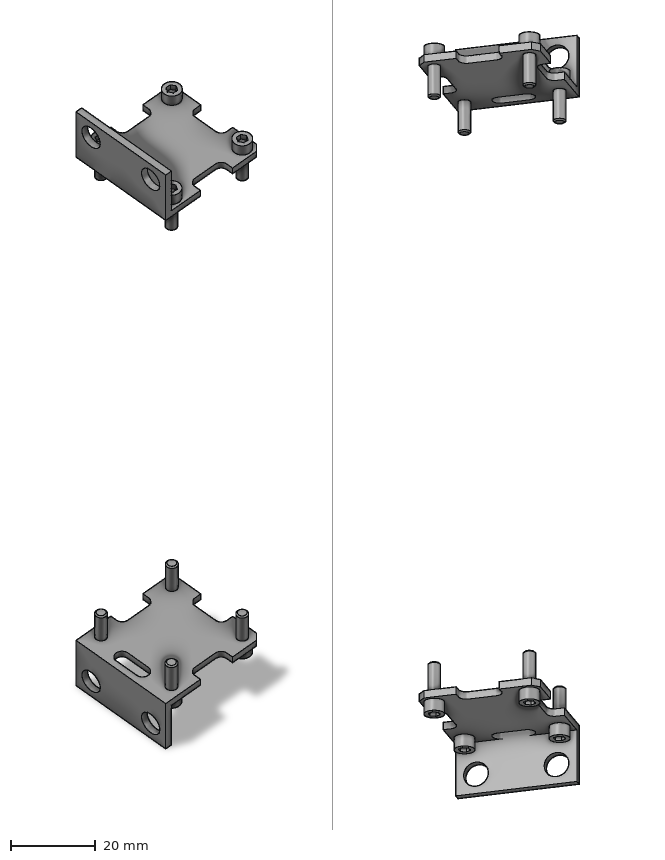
import cadquery as cq
import math

overall_height = 190.0

width = 30.0
depth = 32.0
flange_height = 15.0
thickness = 1.9
rear_corner_chamfer = 1.7

cutout_length = 10.6
cutout_depth = 3.8
cutout_radius = cutout_depth / 2

flange_hole_diameter = 6.0
flange_hole_spacing = 20.0
flange_hole_inset = 5.0

screw_spacing = 23.5
shank_diameter = 3.0
shank_projection = 8.0
tip_chamfer = 0.4
head_diameter = 5.0
head_height = 3.0
socket_across_flats = 2.5
socket_depth = 1.5

front_y = -depth / 2
rear_y = depth / 2
flange_inner_y = front_y + thickness
pattern_y = rear_y - width / 2
flange_hole_z = flange_height - flange_hole_inset
socket_across_corners = socket_across_flats / math.cos(math.pi / 6)
bracket_base_z = overall_height / 2 - flange_height


def make_sheet():
    """L-shaped sheet with chamfered rear corners."""
    plate = (
        cq.Workplane("XY")
        .box(width, depth, thickness, centered=(True, True, False))
        .edges("|Z and >Y")
        .chamfer(rear_corner_chamfer)
    )
    flange = (
        cq.Workplane("XY")
        .box(width, thickness, flange_height, centered=(True, False, False))
        .translate((0, front_y, 0))
    )
    return plate.union(flange)


def edge_notch(angle):
    """Notch cutter with rounded inner corners, turned about the screw pattern centre.

    At angle 0 it opens through the rear edge.
    """
    return (
        cq.Workplane("XY")
        .box(cutout_length, cutout_depth, thickness, centered=(True, False, False))
        .edges("|Z and <Y")
        .fillet(cutout_radius)
        .translate((0, width / 2 - cutout_depth, 0))
        .rotate((0, 0, 0), (0, 0, 1), angle)
        .translate((0, pattern_y, 0))
    )


def flange_slot():
    """Round-ended slot that runs along the inner face of the flange."""
    return (
        cq.Workplane("XY")
        .center(0, flange_inner_y + cutout_depth / 2)
        .slot2D(cutout_length, cutout_depth)
        .extrude(thickness)
    )


def flange_holes():
    """Pair of holes through the flange."""
    return (
        cq.Workplane("XZ", origin=(0, flange_inner_y, flange_hole_z))
        .rarray(flange_hole_spacing, 1.9, 2, 1)
        .circle(flange_hole_diameter / 2)
        .extrude(thickness)
    )


def make_screw():
    """Cap screw on the Z axis: head on the inner plate face, shank pointing down."""
    shank = (
        cq.Workplane("XY", origin=(0, 0, -shank_projection))
        .circle(shank_diameter / 2)
        .extrude(shank_projection + thickness)
        .faces("<Z")
        .chamfer(tip_chamfer)
    )
    head = (
        cq.Workplane("XY", origin=(0, 0, thickness))
        .circle(head_diameter / 2)
        .extrude(head_height)
    )
    socket = (
        cq.Workplane("XY", origin=(0, 0, thickness + head_height - socket_depth))
        .polygon(6, socket_across_corners)
        .extrude(socket_depth)
        .rotate((0, 0, 0), (0, 0, 1), 90)
    )
    return shank.union(head).cut(socket)


def make_bracket():
    """One complete bracket with its four screws as a single solid."""
    bracket = make_sheet().cut(flange_slot()).cut(flange_holes())
    for angle in (-90, 0, 90):
        bracket = bracket.cut(edge_notch(angle))
    for x_side in (-1, 1):
        for y_side in (-1, 1):
            x = x_side * screw_spacing / 2
            y = pattern_y + y_side * screw_spacing / 2
            bracket = bracket.union(make_screw().translate((x, y, 0)))
    return bracket


upper_bracket = make_bracket().translate((0, 0, bracket_base_z))
lower_bracket = upper_bracket.mirror("XY")

result = cq.Compound.makeCompound([upper_bracket.val(), lower_bracket.val()])